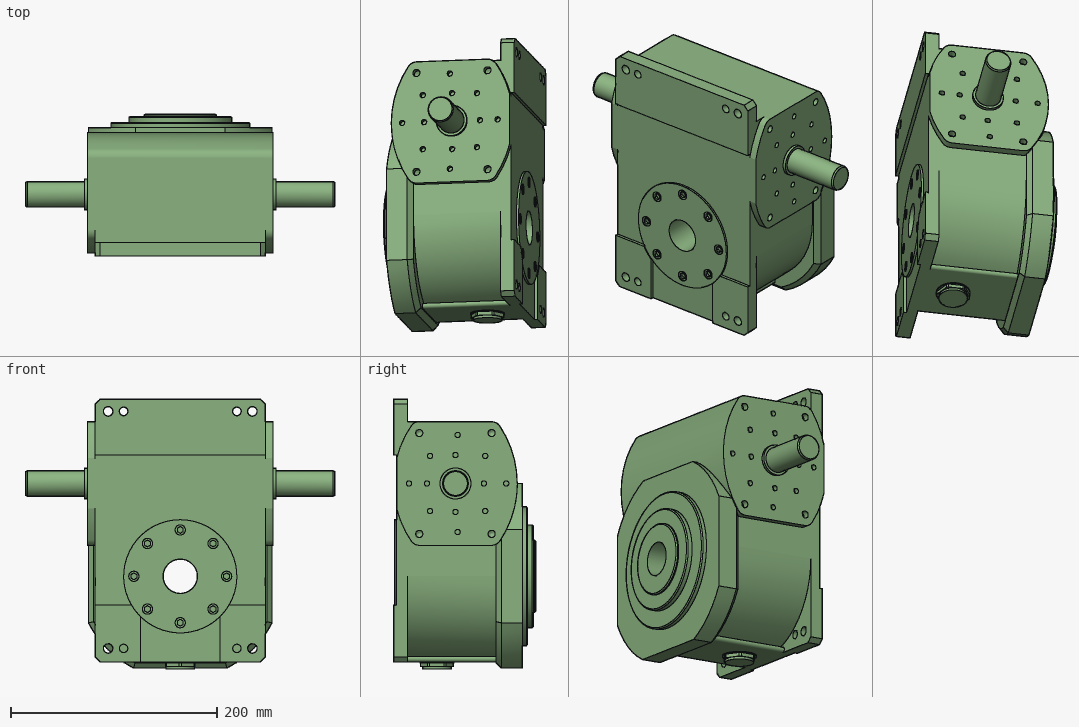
import cadquery as cq
import math


centre_distance = 90.0
input_y = 60.0
overall_length = 300.0

housing_width = 180.0
housing_depth = 120.0
housing_height = 120.0
housing_top = centre_distance + housing_height / 2
housing_bottom = centre_distance - housing_height / 2
housing_arc_radius = 100.0
housing_corner_radius = 10.0
core_width = 165.0

plate_top = 172.0
plate_bottom = -83.0
plate_back = 13.5
plate_corner = 4.8
pad_height = 3.0
top_pad_edge = 117.5
foot_pad_edge = -28.0
foot_pad_gap = 76.8
plate_hole_z = (160.0, -70.0)
outer_hole_x = 70.0
outer_hole_diameter = 9.0
inner_hole_x = 55.0
inner_hole_diameter = 8.0

cover_front = 99.3
cover_back = 124.8
cover_radius = 100.0
cover_half_width = 89.0
cover_bevel = 5.0

hub_steps = ((135.0, 130.0), (100.0, 135.5), (70.2, 138.0))
hub_chamfer = 1.2
ring_diameter = 109.8
ring_face = 1.0
bore_diameter = 33.0

ring_screw_count = 8
ring_screw_radius = 45.0
screw_head_diameter = 10.0
screw_head_sink = 0.5
screw_socket_flats = 5.7
screw_socket_depth = 3.0

shaft_diameter = 25.0
shaft_chamfer_length = 1.8
shaft_chamfer_drop = 1.0
collar_diameter = 30.0
collar_length = 3.0

side_bolt_diameter = 7.0
side_bolt_depth = 7.5
side_bolt_y = 35.0
side_bolt_z = 49.0
drill_point_angle = 118.0
tapped_hole_diameter = 5.0
tapped_hole_depth = 6.0
bearing_y = 62.0
cap_hole_radius = 47.0
cap_diagonal_radius = 37.8
seal_hole_radius = 27.5

plug_y = 42.0
plug_flange_diameter = 33.0
plug_flange_thickness = 1.0
plug_hex_flats = 28.8
plug_hex_corners = 32.0
plug_hex_bottom = -87.5
plug_tip_diameter = 28.0
plug_tip_bottom = -90.0
drain_pad_width = 72.0
drain_pad_height = 5.5


def box(x_size, y_range, z_range):
    """Box centred on X, spanning the given Y and Z ranges."""
    y_low, y_high = y_range
    z_low, z_high = z_range
    return cq.Workplane("XY").box(x_size, y_high - y_low, z_high - z_low).translate(
        (0, (y_low + y_high) / 2, (z_low + z_high) / 2)
    )


def cylinder_y(diameter, y_low, y_high, x=0.0, z=0.0):
    """Cylinder along Y."""
    return cq.Workplane("XZ", origin=(x, y_low, z)).circle(diameter / 2).extrude(y_low - y_high)


def cylinder_x(diameter, x_low, x_high, y, z):
    """Cylinder along X."""
    return cq.Workplane("YZ", origin=(x_low, y, z)).circle(diameter / 2).extrude(x_high - x_low)


def cylinder_z(diameter, z_low, z_high):
    """Cylinder along Z, on the drain plug axis."""
    return cq.Workplane("XY", origin=(0, plug_y, z_low)).circle(diameter / 2).extrude(z_high - z_low)


def mirrored_x(shape):
    """The shape together with its mirror image across the YZ plane."""
    return shape.union(shape.mirror("YZ"))


def make_housing():
    """Lens-shaped barrel along X: two large arcs cut off flat above and below."""
    half_height = housing_height / 2
    arc_inset = housing_arc_radius - math.sqrt(housing_arc_radius**2 - half_height**2)
    back_corner = housing_depth - arc_inset
    barrel = (
        cq.Workplane("YZ", origin=(-housing_width / 2, 0, 0))
        .moveTo(arc_inset, housing_bottom)
        .lineTo(back_corner, housing_bottom)
        .threePointArc((housing_depth, centre_distance), (back_corner, housing_top))
        .lineTo(arc_inset, housing_top)
        .threePointArc((0, centre_distance), (arc_inset, housing_bottom))
        .close()
        .extrude(housing_width)
        .edges("|X")
        .fillet(housing_corner_radius)
    )
    return barrel.intersect(
        box(housing_width, (pad_height, housing_depth), (housing_bottom, housing_top))
    )


def make_core():
    """Body between the side flanges, closed below by a half barrel around the output axis."""
    block = box(core_width, (pad_height, input_y), (0, housing_top))
    neck = box(core_width, (pad_height, cover_front), (0, centre_distance))
    barrel = cylinder_y(core_width, pad_height, cover_front)
    return block.union(neck).union(barrel)


def make_plate():
    """Mounting plate with chamfered corners, one wide top pad and two foot pads."""
    plate = box(core_width, (0, plate_back), (plate_bottom, plate_top))
    plate = plate.edges("|Y").chamfer(plate_corner)
    middle_recess = box(core_width, (0, pad_height), (foot_pad_edge, top_pad_edge))
    foot_recess = box(foot_pad_gap, (0, pad_height), (plate_bottom, foot_pad_edge))
    ring_recess = cylinder_y(ring_diameter, 0, pad_height)
    return plate.cut(middle_recess).cut(foot_recess).cut(ring_recess)


def make_cover():
    """Rear cover: a disc with flat sides and a flat top, bevelled on its front edge."""
    outline = cylinder_y(2 * cover_radius, cover_front, cover_back).intersect(
        box(2 * cover_half_width, (cover_front, cover_back), (-cover_half_width, cover_radius))
    )
    bevelled = outline.faces("<Y").chamfer(cover_bevel)
    return bevelled.intersect(
        box(2 * cover_half_width, (cover_front, cover_back), (-cover_half_width, centre_distance))
    )


def make_hub():
    """Stepped output hub behind the cover."""
    hub = None
    for diameter, rear_face in hub_steps:
        step = cylinder_y(diameter, cover_front, rear_face).faces(">Y").chamfer(hub_chamfer)
        hub = step if hub is None else hub.union(step)
    return hub


def make_shaft_end():
    """One input shaft end with its collar, on the +X side."""
    flange_face = housing_width / 2
    shaft = cylinder_x(shaft_diameter, 0, overall_length / 2, input_y, centre_distance)
    shaft = shaft.faces(">X").chamfer(shaft_chamfer_length, shaft_chamfer_drop)
    collar = cylinder_x(collar_diameter, 0, flange_face + collar_length, input_y, centre_distance)
    return shaft.union(collar)


def make_drain():
    """Round-edged pad under the barrel and the hexagonal drain plug below it."""
    pad = (
        cq.Workplane("XZ", origin=(0, pad_height, plate_bottom + drain_pad_height / 2))
        .slot2D(drain_pad_width, drain_pad_height)
        .extrude(pad_height - cover_front)
    )
    flange = cylinder_z(plug_flange_diameter, plate_bottom - plug_flange_thickness, plate_bottom)
    hexagon = (
        cq.Workplane("XY", origin=(0, plug_y, plug_hex_bottom))
        .polygon(6, plug_hex_flats, circumscribed=True)
        .extrude(plate_bottom - plug_hex_bottom)
        .intersect(cylinder_z(plug_hex_corners, plug_hex_bottom, plate_bottom))
    )
    tip = cylinder_z(plug_tip_diameter, plug_tip_bottom, plate_bottom)
    return pad.union(flange).union(hexagon).union(tip)


def make_plate_holes():
    """Through holes in the four corners of the mounting plate."""
    holes = cq.Workplane("XY")
    for x, diameter in ((outer_hole_x, outer_hole_diameter), (inner_hole_x, inner_hole_diameter)):
        for z in plate_hole_z:
            holes = holes.union(cylinder_y(diameter, 0, plate_back, x, z))
    return mirrored_x(holes)


def make_ring_screw_recesses():
    """Sunk screw heads with hexagonal sockets, around the output ring."""
    head_face = ring_face + screw_head_sink
    recesses = cq.Workplane("XY")
    for index in range(ring_screw_count):
        angle = 2 * math.pi * index / ring_screw_count
        x = ring_screw_radius * math.cos(angle)
        z = ring_screw_radius * math.sin(angle)
        socket = (
            cq.Workplane("XZ", origin=(x, ring_face, z))
            .polygon(6, screw_socket_flats, circumscribed=True)
            .extrude(-screw_socket_depth)
        )
        head = cylinder_y(screw_head_diameter, ring_face, head_face, x, z)
        recesses = recesses.union(head).union(socket)
    return recesses


def polar_points(radius, centre_y, first_angle):
    """Four (y, z) points on a circle at input axis height."""
    angles = [math.radians(first_angle + 90 * quarter) for quarter in range(4)]
    return [(centre_y + radius * math.cos(a), centre_distance + radius * math.sin(a)) for a in angles]


def make_side_holes():
    """Drilled bolt holes and small tapped holes in both side flanges."""
    face = housing_width / 2
    point_height = side_bolt_diameter / 2 / math.tan(math.radians(drill_point_angle / 2))
    drill_bottom = face - side_bolt_depth
    inward = cq.Vector(-1, 0, 0)
    holes = cq.Workplane("XY")
    for y in (input_y - side_bolt_y, input_y + side_bolt_y):
        for z in (centre_distance - side_bolt_z, centre_distance + side_bolt_z):
            tip_base = cq.Vector(drill_bottom, y, z)
            tip = cq.Solid.makeCone(side_bolt_diameter / 2, 0, point_height, tip_base, inward)
            bolt_hole = cylinder_x(side_bolt_diameter, drill_bottom, face, y, z)
            holes = holes.union(bolt_hole).union(cq.Workplane(tip))
    tapped = (
        polar_points(cap_hole_radius, bearing_y, 0)
        + polar_points(cap_diagonal_radius, bearing_y, 45)
        + polar_points(seal_hole_radius, input_y, 0)
    )
    for y, z in tapped:
        holes = holes.union(cylinder_x(tapped_hole_diameter, face - tapped_hole_depth, face, y, z))
    return mirrored_x(holes)


body = make_housing().union(make_core()).union(make_plate()).union(make_cover())
body = body.union(make_hub()).union(cylinder_y(ring_diameter, ring_face, plate_back))
body = body.union(mirrored_x(make_shaft_end())).union(make_drain())

bore = cylinder_y(bore_diameter, 0, hub_steps[-1][1])
result = body.cut(bore).cut(make_plate_holes()).cut(make_ring_screw_recesses()).cut(make_side_holes())